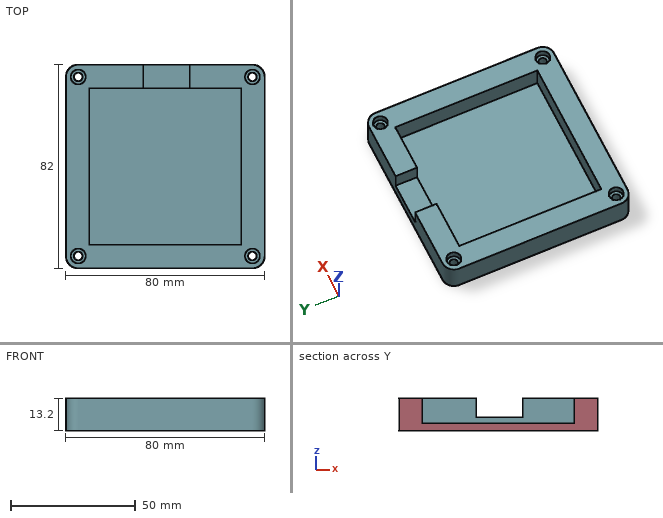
import cadquery as cq

width = 80.0
length = 82.0
height = 13.2
corner_radius = 5.0

wall_thickness = 9.5
floor_thickness = 3.1
pocket_width = width - 2 * wall_thickness
pocket_length = length - 2 * wall_thickness
pocket_depth = height - floor_thickness

notch_width = 18.6
notch_offset = 0.5
notch_depth = 7.6

hole_diameter = 3.4
counterbore_diameter = 6.0
counterbore_depth = 3.2
hole_spacing_x = width - 2 * corner_radius
hole_spacing_y = length - 2 * corner_radius


def make_block():
    block = cq.Workplane("XY").box(width, length, height, centered=(True, True, False))
    return block.edges("|Z").fillet(corner_radius)


def cut_pocket(body):
    top = cq.Workplane("XY", origin=(0, 0, height))
    pocket = top.rect(pocket_width, pocket_length).extrude(-pocket_depth)
    return body.cut(pocket)


def cut_wall_notch(body):
    notch = cq.Workplane("XY", origin=(notch_offset, 0, height - notch_depth)).box(
        notch_width, length / 2, notch_depth, centered=(True, False, False)
    )
    return body.cut(notch)


def drill_corner_holes(body):
    top = cq.Workplane("XY", origin=(0, 0, height))
    corners = top.rect(hole_spacing_x, hole_spacing_y, forConstruction=True).vertices()
    holes = corners.circle(hole_diameter / 2).extrude(-height)
    counterbores = corners.circle(counterbore_diameter / 2).extrude(-counterbore_depth)
    return body.cut(holes).cut(counterbores)


block = make_block()
tray = cut_pocket(block)
notched_tray = cut_wall_notch(tray)
result = drill_corner_holes(notched_tray)